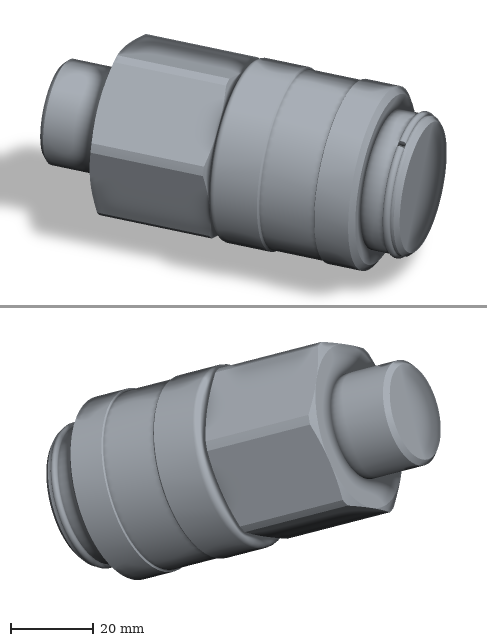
import cadquery as cq
import math


stub_diameter = 26.44
stub_length = 16.0
stub_chamfer = 1.2

hex_across_flats = 41.0
hex_corner_diameter = 46.0
hex_length = 31.0
hex_turn = 17.5
hex_chamfer_depth = 2.5
hex_chamfer_length = 0.9

neck_diameter = 38.8
neck_length = 0.8

collar_diameter = 46.0
band_diameter = 45.0
rear_collar_length = 12.6
rear_collar_fillet = 1.5
rear_step_length = 0.5
band_length = 14.15
front_step_length = 0.25
front_collar_length = 10.0
front_chamfer_depth = 1.75
front_chamfer_length = 1.2

total_length = 95.0
nose_diameter = 35.0
nose_chamfer = 1.15
groove_diameter = 32.6
groove_width = 2.0
groove_to_end = 2.0

wire_diameter = groove_width
ring_gap = 1.4
ring_gap_turn = 24.0

hex_start = stub_length
hex_end = hex_start + hex_length
sleeve_start = hex_end + neck_length
rear_collar_end = sleeve_start + rear_collar_length
band_start = rear_collar_end + rear_step_length
band_end = band_start + band_length
front_collar_start = band_end + front_step_length
sleeve_end = front_collar_start + front_collar_length
groove_end = total_length - groove_to_end
groove_start = groove_end - groove_width

stub_radius = stub_diameter / 2
neck_radius = neck_diameter / 2
collar_radius = collar_diameter / 2
band_radius = band_diameter / 2
nose_radius = nose_diameter / 2
groove_radius = groove_diameter / 2
corner_radius = hex_corner_diameter / 2
wire_radius = wire_diameter / 2
ring_radius = groove_radius + wire_radius


def cylinder(radius, start, end):
    """Cylinder on the X axis between two stations."""
    return cq.Workplane("YZ", origin=(start, 0, 0)).circle(radius).extrude(end - start)


def revolve_about_x(profile):
    """Revolve an XY profile of (station, radius) about the X axis."""
    return profile.revolve(360, (0, 0, 0), (1, 0, 0))


def make_stub():
    stub = cylinder(stub_radius, 0, hex_start)
    return stub.faces("<X").chamfer(stub_chamfer)


def make_hexagon():
    """Hexagonal prism trimmed by a turned blank that is chamfered at both ends."""
    across_corners = hex_across_flats / math.cos(math.radians(30))
    prism = (
        cq.Workplane("YZ", origin=(hex_start, 0, 0))
        .polygon(6, across_corners)
        .extrude(hex_length)
        .rotate((0, 0, 0), (1, 0, 0), -hex_turn)
    )
    face_radius = corner_radius - hex_chamfer_depth
    blank = revolve_about_x(
        cq.Workplane("XY")
        .moveTo(hex_start, 0)
        .lineTo(hex_start, face_radius)
        .lineTo(hex_start + hex_chamfer_length, corner_radius)
        .lineTo(hex_end - hex_chamfer_length, corner_radius)
        .lineTo(hex_end, face_radius)
        .lineTo(hex_end, 0)
        .close()
    )
    return prism.intersect(blank)


def make_sleeve():
    fillet_offset = rear_collar_fillet * (1 - math.sqrt(0.5))
    return revolve_about_x(
        cq.Workplane("XY")
        .moveTo(sleeve_start, 0)
        .lineTo(sleeve_start, collar_radius - rear_collar_fillet)
        .threePointArc(
            (sleeve_start + fillet_offset, collar_radius - fillet_offset),
            (sleeve_start + rear_collar_fillet, collar_radius),
        )
        .lineTo(rear_collar_end, collar_radius)
        .lineTo(band_start, band_radius)
        .lineTo(band_end, band_radius)
        .lineTo(front_collar_start, collar_radius)
        .lineTo(sleeve_end - front_chamfer_length, collar_radius)
        .lineTo(sleeve_end, collar_radius - front_chamfer_depth)
        .lineTo(sleeve_end, 0)
        .close()
    )


def make_nose():
    nose = cylinder(nose_radius, sleeve_end, total_length).faces(">X").chamfer(nose_chamfer)
    groove = cylinder(nose_radius, groove_start, groove_end).cut(
        cylinder(groove_radius, groove_start, groove_end)
    )
    return nose.cut(groove)


def make_coupling_body():
    neck = cylinder(neck_radius, hex_end, sleeve_start)
    return make_stub().union(make_hexagon()).union(neck).union(make_sleeve()).union(make_nose())


def make_snap_ring():
    """Wire ring seated on the groove floor, swept round X from one side of its gap to the other."""
    ring_station = (groove_start + groove_end) / 2
    gap_angle = math.degrees(ring_gap / ring_radius)
    ring = (
        cq.Workplane("XZ", origin=(ring_station, 0, 0))
        .center(0, ring_radius)
        .circle(wire_radius)
        .revolve(360 - gap_angle, (0, -ring_radius, 0), (1, -ring_radius, 0))
    )
    return ring.rotate((0, 0, 0), (1, 0, 0), ring_gap_turn + gap_angle / 2)


coupling_body = make_coupling_body()
snap_ring = make_snap_ring()

result = cq.Compound.makeCompound([coupling_body.val(), snap_ring.val()])